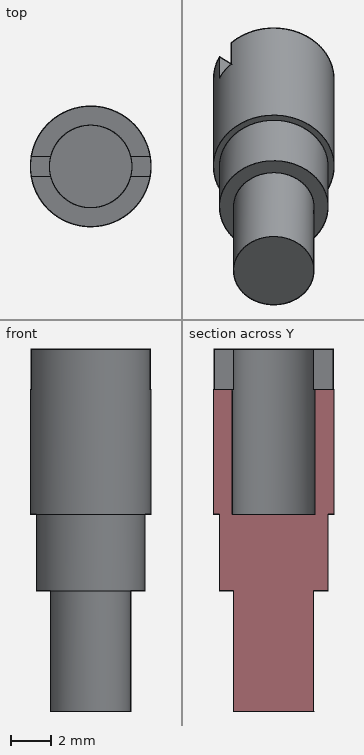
import cadquery as cq

tail_diameter = 4.0
tail_length = 6.0
collar_diameter = 5.4
collar_length = 3.8
head_diameter = 6.0
total_length = 18.0
head_length = total_length - tail_length - collar_length

bore_diameter = 4.1
bore_depth = head_length

slot_width = 1.0
slot_depth = 2.0


def stepped_pin():
    return (
        cq.Workplane("XY")
        .circle(tail_diameter / 2)
        .extrude(tail_length)
        .faces(">Z")
        .workplane()
        .circle(collar_diameter / 2)
        .extrude(collar_length)
        .faces(">Z")
        .workplane()
        .circle(head_diameter / 2)
        .extrude(head_length)
    )


def cut_bore(body):
    return body.faces(">Z").workplane().circle(bore_diameter / 2).cutBlind(-bore_depth)


def cut_slot(body):
    slot = (
        cq.Workplane("XY")
        .workplane(offset=total_length - slot_depth)
        .rect(head_diameter, slot_width)
        .extrude(slot_depth)
    )
    return body.cut(slot)


result = cut_slot(cut_bore(stepped_pin()))